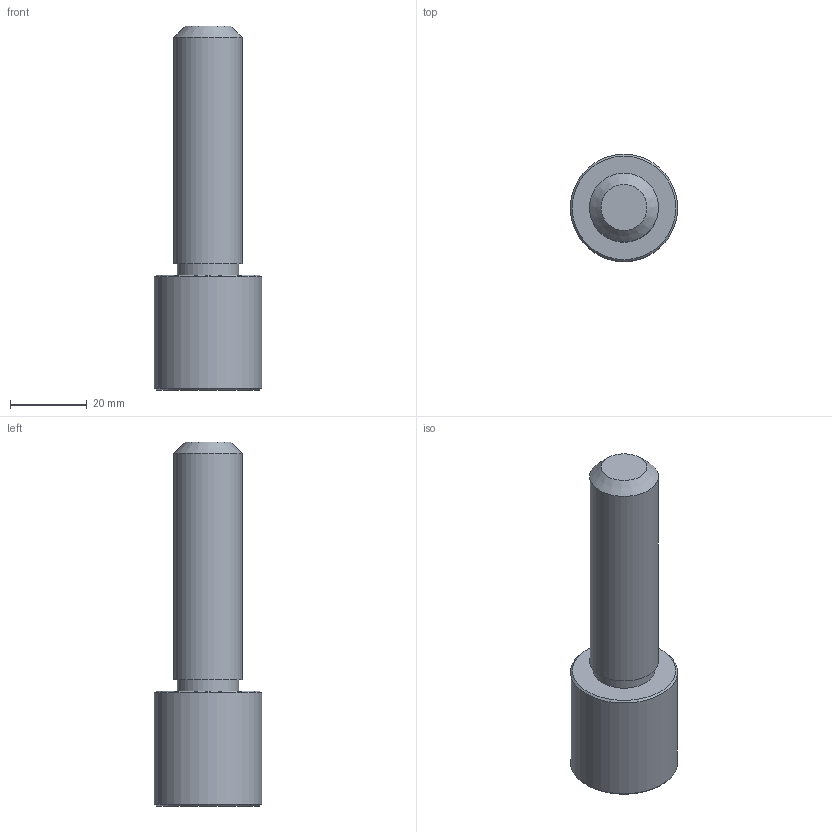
import cadquery as cq

total_length = 95.0
head_diameter = 28.0
head_length = 30.0
head_chamfer = 0.5
neck_diameter = 16.0
neck_length = 3.0
shank_diameter = 18.0
shank_tip_chamfer = 3.0

shank_length = total_length - head_length - neck_length


def make_head():
    """Cylindrical head standing on Z = 0, with both rims chamfered."""
    head = cq.Workplane("XY").circle(head_diameter / 2).extrude(head_length)
    return head.faces("<Z or >Z").edges().chamfer(head_chamfer)


def make_neck():
    """Undercut between the head and the shank."""
    neck = cq.Workplane("XY").workplane(offset=head_length)
    return neck.circle(neck_diameter / 2).extrude(neck_length)


def make_shank():
    """Plain shank with a chamfered tip."""
    shank = cq.Workplane("XY").workplane(offset=head_length + neck_length)
    shank = shank.circle(shank_diameter / 2).extrude(shank_length)
    return shank.faces(">Z").edges().chamfer(shank_tip_chamfer)


result = make_head().union(make_neck()).union(make_shank())